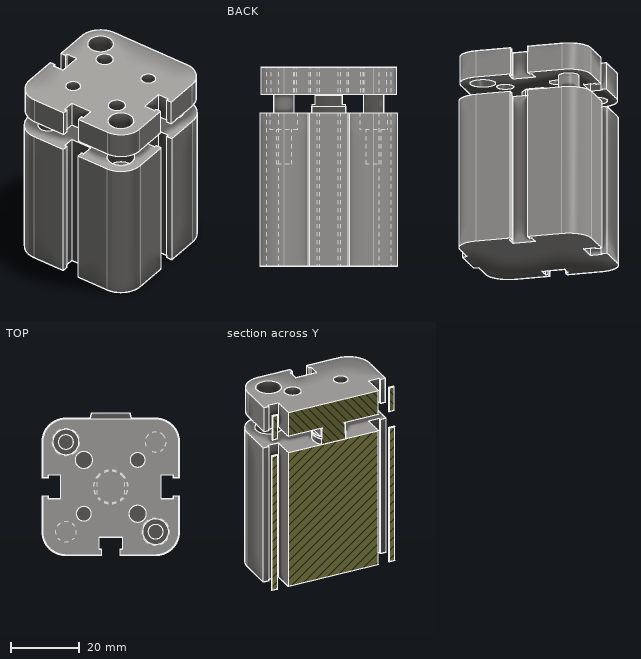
import cadquery as cq

TOTAL_HEIGHT = 58.0
HOUSING_HEIGHT = 44.65
PLATE_THICKNESS = 8.0
PLATE_BOTTOM = TOTAL_HEIGHT - PLATE_THICKNESS

HOUSING_SIDE = 40.0
PLATE_INSET = 0.25
PLATE_SIDE = HOUSING_SIDE - 2 * PLATE_INSET
HOUSING_CORNER_RADIUS = 6.95
PLATE_CORNER_RADIUS = HOUSING_CORNER_RADIUS - PLATE_INSET

SLOT_FLOOR = 14.7
SLOT_LIP = 18.15
SLOT_WIDTH = 6.8
SLOT_THROAT = 5.3
SLOT_ANGLES = (0, 180, 270)

RAIL_HEIGHT = 1.5
RAIL_BASE_WIDTH = 12.0
RAIL_TOP_WIDTH = 11.25

CORNER_OFFSET = 13.05
GUIDE_ROD_DIAMETER = 6.0
ACCESS_HOLE_DIAMETER = 7.5
COUNTERBORE_DIAMETER = 8.0
COUNTERBORE_DEPTH = 4.9
SCREW_HOLE_DIAMETER = 4.3
SCREW_HOLE_DEPTH = 10.0

PLATE_HOLE_OFFSET = 7.85
LARGE_PLATE_HOLE_DIAMETER = 5.0
SMALL_PLATE_HOLE_DIAMETER = 4.3

ROD_DIAMETER = 10.0
ROD_NECK_DIAMETER = 9.8
ROD_NECK_BOTTOM = 46.5
FLATS_BOTTOM = 47.15
ACROSS_FLATS = 8.0
ROD_CHAMFER = 0.3


def diagonal_points(offset, rising):
    """Two opposite corners of a square; rising runs from (-X, -Y) to (+X, +Y)."""
    y = offset if rising else -offset
    return [(-offset, -y), (offset, y)]


def cylinders(points, diameter, bottom, height):
    return cq.Workplane().workplane(offset=bottom).pushPoints(points).circle(diameter / 2).extrude(height)


def slot_part(inner, outer, width, bottom, height):
    """Straight channel along Z between two distances from the axis, on the +X side."""
    section = cq.Workplane().workplane(offset=bottom).center((inner + outer) / 2, 0)
    return section.rect(outer - inner, width).extrude(height)


def slot_cutter(angle, bottom, height):
    """T-slot open outward at the given angle about Z."""
    chamber = slot_part(SLOT_FLOOR, SLOT_LIP, SLOT_WIDTH, bottom, height)
    throat = slot_part(SLOT_FLOOR, HOUSING_SIDE, SLOT_THROAT, bottom, height)
    return chamber.union(throat).rotate((0, 0, 0), (0, 0, 1), angle)


def slotted_block(side, corner_radius, bottom, height):
    """Rounded square block with a T-slot on the -X, +X and -Y sides."""
    block = cq.Workplane().workplane(offset=bottom).rect(side, side).extrude(height)
    block = block.edges("|Z").fillet(corner_radius)
    for angle in SLOT_ANGLES:
        block = block.cut(slot_cutter(angle, bottom, height))
    return block


def rail():
    root = HOUSING_SIDE / 2
    outline = [
        (-RAIL_BASE_WIDTH / 2, root),
        (-RAIL_TOP_WIDTH / 2, root + RAIL_HEIGHT),
        (RAIL_TOP_WIDTH / 2, root + RAIL_HEIGHT),
        (RAIL_BASE_WIDTH / 2, root),
    ]
    return cq.Workplane().polyline(outline).close().extrude(HOUSING_HEIGHT)


def make_housing():
    housing = slotted_block(HOUSING_SIDE, HOUSING_CORNER_RADIUS, 0, HOUSING_HEIGHT).union(rail())
    mounting_points = diagonal_points(CORNER_OFFSET, rising=False)
    counterbore_floor = HOUSING_HEIGHT - COUNTERBORE_DEPTH
    housing = housing.cut(cylinders(mounting_points, COUNTERBORE_DIAMETER, HOUSING_HEIGHT, -COUNTERBORE_DEPTH))
    return housing.cut(cylinders(mounting_points, SCREW_HOLE_DIAMETER, counterbore_floor, -SCREW_HOLE_DEPTH))


def piston_rod():
    """Stepped rod with two wrench flats facing -X and +X and a chamfered top."""
    axis = [(0, 0)]
    base = cylinders(axis, ROD_DIAMETER, HOUSING_HEIGHT, ROD_NECK_BOTTOM - HOUSING_HEIGHT)
    neck = cylinders(axis, ROD_NECK_DIAMETER, ROD_NECK_BOTTOM, PLATE_BOTTOM - ROD_NECK_BOTTOM)
    neck = neck.faces(">Z").chamfer(ROD_CHAMFER)
    flats_zone = cq.Workplane().workplane(offset=FLATS_BOTTOM).rect(ROD_DIAMETER, ROD_DIAMETER)
    flats_zone = flats_zone.rect(ACROSS_FLATS, ROD_DIAMETER).extrude(PLATE_BOTTOM - FLATS_BOTTOM)
    return base.union(neck.cut(flats_zone))


def make_guide_unit():
    """Yoke plate with its piston rod and guide rods, standing on the housing top."""
    plate = slotted_block(PLATE_SIDE, PLATE_CORNER_RADIUS, PLATE_BOTTOM, PLATE_THICKNESS)
    plate_holes = (
        (CORNER_OFFSET, False, ACCESS_HOLE_DIAMETER),
        (PLATE_HOLE_OFFSET, False, LARGE_PLATE_HOLE_DIAMETER),
        (PLATE_HOLE_OFFSET, True, SMALL_PLATE_HOLE_DIAMETER),
    )
    for offset, rising, diameter in plate_holes:
        points = diagonal_points(offset, rising)
        plate = plate.cut(cylinders(points, diameter, PLATE_BOTTOM, PLATE_THICKNESS))
    rod_points = diagonal_points(CORNER_OFFSET, rising=True)
    guide_rods = cylinders(rod_points, GUIDE_ROD_DIAMETER, HOUSING_HEIGHT, PLATE_BOTTOM - HOUSING_HEIGHT)
    return plate.union(piston_rod()).union(guide_rods)


housing = make_housing()
guide_unit = make_guide_unit()

result = cq.Compound.makeCompound([housing.solids().val(), guide_unit.solids().val()])